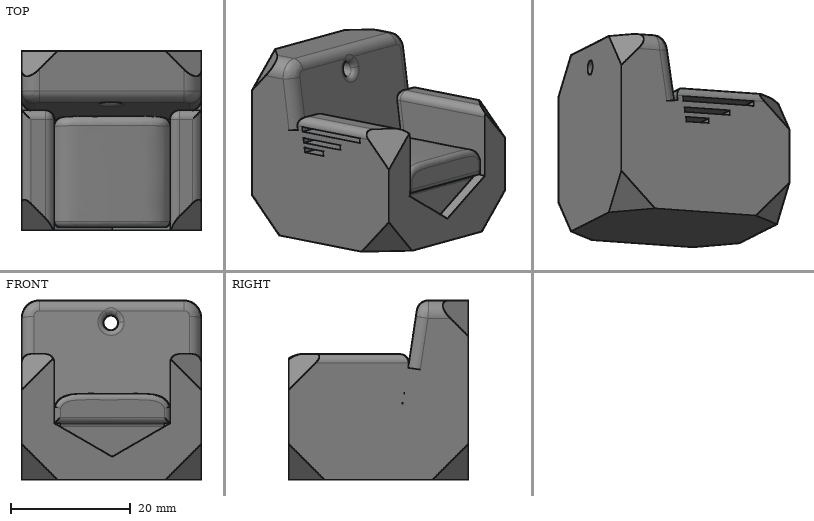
import cadquery as cq
import math

size = 30.0
half = size / 2
corner_cut = 6.0

back_slope = 0.15
back_top_y = 6.63
back_side_radius = 2.97
back_edge_radius = 2.0
back_round_end = 18.72

arm_top = 21.03
arm_radius = 1.5
bay_center = 0.12
bay_width = 19.32
bay_floor = 9.45
bay_left = bay_center - bay_width / 2
bay_right = bay_center + bay_width / 2

v_angle = 30.0
v_depth = 2.0
v_apex_z = bay_floor - bay_width / 2 * math.tan(math.radians(v_angle))

cushion_front = -14.5
cushion_top = 14.4
cushion_shoulder_width = 4.25
cushion_shoulder_height = 2.2
cushion_front_radius = 1.0
cushion_rear_radius = 1.5

hole_x = -0.12
hole_z = 26.22
hole_diameter = 2.4
hole_lip_radius = 1.0

slot_height = 0.8
slot_rear_gap = 1.02
slots = [(19.45, -8.6), (17.58, -4.35), (15.95, -0.6)]


def back_face_y(z):
    """Front-to-back place of the leaning backrest face at height z."""
    return back_top_y - back_slope * (size - z)


def side_prism(outline, x_start, x_end):
    """Prism along X from a (y, z) outline."""
    return cq.Workplane("YZ", origin=(x_start, 0, 0)).polyline(outline).close().extrude(x_end - x_start)


def make_base():
    """Block under the seat, with the V-shaped recess in its front."""
    block = cq.Workplane("XY").box(size, size, bay_floor, centered=(True, True, False))
    v_outline = [(bay_left, bay_floor), (bay_right, bay_floor), (bay_center, v_apex_z)]
    recess = cq.Workplane("XZ", origin=(0, -half, 0)).polyline(v_outline).close().extrude(-v_depth)
    return block.cut(recess)


def make_backrest():
    """Leaning backrest: rounded above the split line, plain below it."""
    split_front = (back_face_y(back_round_end), back_round_end)
    split_rear = (half, back_round_end - back_slope * (half - split_front[0]))
    lower_outline = [(back_face_y(0), 0), (half, 0), split_rear, split_front]
    upper_outline = [split_front, split_rear, (half, size), (back_top_y, size)]
    lower = side_prism(lower_outline, -half, half)
    upper = side_prism(upper_outline, -half, half)
    upper = upper.edges("|Y and >Z").fillet(back_side_radius)
    face_normal = cq.Vector(0, -1, -back_slope)
    rim = upper.faces(cq.selectors.DirectionMinMaxSelector(face_normal, True)).edges()
    upper = rim.edges("not(<Z)").fillet(back_edge_radius)
    return lower.union(upper)


def make_arm(inner_x, outer_x):
    """Arm rounded along its top and down its inner rear edge."""
    outline = [
        (-half, bay_floor),
        (back_face_y(bay_floor), bay_floor),
        (back_face_y(arm_top), arm_top),
        (-half, arm_top),
    ]
    arm = side_prism(outline, min(inner_x, outer_x), max(inner_x, outer_x))
    inner_side = arm.faces(">X" if inner_x > outer_x else "<X")
    inner_rear_edge = inner_side.edges(">Y and (not |Y)").edges("not |Z")
    top_edges = arm.faces(">Z").edges("not <Y")
    return top_edges.add(inner_rear_edge).fillet(arm_radius)


def make_slots():
    """Slots through the left arm, their rear ends parallel to the backrest face."""
    cutters = cq.Workplane()
    for top, front in slots:
        bottom = top - slot_height
        outline = [
            (front, bottom),
            (back_face_y(bottom) - slot_rear_gap, bottom),
            (back_face_y(top) - slot_rear_gap, top),
            (front, top),
        ]
        cutters = cutters.add(side_prism(outline, -half, bay_left))
    return cutters.combine()


def shoulder_points():
    """Crown of the cushion: points along elliptical shoulders and a nearly flat top, right to left."""
    shoulder_z = cushion_top - cushion_shoulder_height
    diagonal = math.sqrt(0.5)
    half_crown = [
        (bay_width / 2, shoulder_z),
        (
            bay_width / 2 - cushion_shoulder_width * (1 - diagonal),
            shoulder_z + cushion_shoulder_height * diagonal,
        ),
        (bay_width / 2 - cushion_shoulder_width, cushion_top),
    ]
    right = [(bay_center + x, z) for x, z in half_crown]
    left = [(bay_center - x, z) for x, z in reversed(half_crown)]
    return right + [(bay_center, cushion_top)] + left


def make_cushion():
    """Cushion with a crowned top and rounded front and rear rims."""
    section = (
        cq.Workplane("XZ", origin=(0, cushion_front, 0))
        .spline(shoulder_points())
        .lineTo(bay_left, bay_floor)
        .lineTo(bay_right, bay_floor)
        .close()
    )
    cushion = section.extrude(cushion_front - half)
    backrest_space = [(back_face_y(0), 0), (half, 0), (half, size), (back_top_y, size)]
    cushion = cushion.cut(side_prism(backrest_space, -half, half))
    cushion = cushion.faces("<Y").edges().fillet(cushion_front_radius)
    return cushion.faces(">Y").edges("not(<Z)").fillet(cushion_rear_radius)


def make_cove():
    """Concave strip blending the cushion's underside into the wall of the V-shaped recess."""
    wall_y = v_depth - half
    radius = wall_y - (cushion_front + cushion_front_radius)
    block = cq.Workplane("XY").box(bay_width - 2 * cushion_front_radius, radius, radius)
    block = block.translate((bay_center, wall_y - radius / 2, bay_floor - radius / 2))
    hollow = (
        cq.Workplane("YZ", origin=(bay_left, wall_y - radius, bay_floor - radius))
        .circle(radius)
        .extrude(bay_width)
    )
    return block.cut(hollow)


def cut_hole(backrest):
    """Through hole with a rounded lip on the backrest face."""
    drill = cq.Workplane("XZ", origin=(hole_x, half, hole_z)).circle(hole_diameter / 2).extrude(size)
    drilled = backrest.cut(drill)
    reach = hole_diameter
    front_box = cq.selectors.BoxSelector(
        (hole_x - reach, 0, hole_z - reach), (hole_x + reach, half - reach, hole_z + reach)
    )
    return drilled.edges(front_box).fillet(hole_lip_radius)


def corner_tetrahedron(x_sign, y_sign, z, z_sign):
    """Corner piece whose three square edges lie along the block's edges."""
    tip = cq.Vector(x_sign * half, y_sign * half, z)
    along_x = tip - cq.Vector(x_sign * corner_cut, 0, 0)
    along_y = tip - cq.Vector(0, y_sign * corner_cut, 0)
    along_z = tip - cq.Vector(0, 0, z_sign * corner_cut)
    triangles = [
        (tip, along_x, along_y),
        (tip, along_x, along_z),
        (tip, along_y, along_z),
        (along_x, along_y, along_z),
    ]
    faces = [cq.Face.makeFromWires(cq.Wire.makePolygon(corners, close=True)) for corners in triangles]
    return cq.Workplane(cq.Solid.makeSolid(cq.Shell.makeShell(faces)))


result = (
    make_base()
    .union(cut_hole(make_backrest()))
    .union(make_arm(bay_left, -half))
    .union(make_arm(bay_right, half))
    .cut(make_slots())
    .union(make_cushion())
    .union(make_cove())
)

for x_sign in (-1, 1):
    for y_sign, top_z in ((-1, arm_top), (1, size)):
        result = result.cut(corner_tetrahedron(x_sign, y_sign, 0, -1))
        result = result.cut(corner_tetrahedron(x_sign, y_sign, top_z, 1))